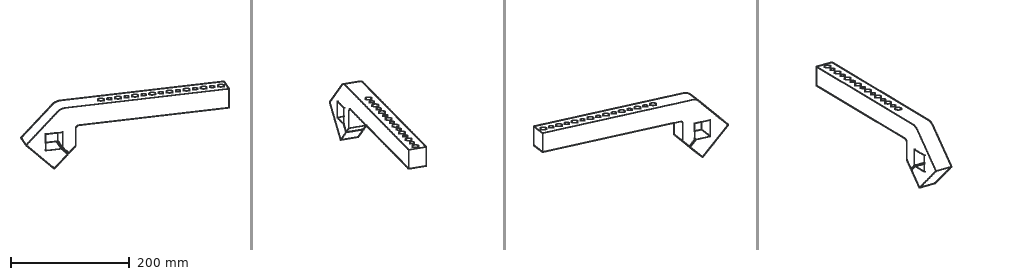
import cadquery as cq
import math

width = 32.0
length = 355.2
height = 110.0
bar_thickness = 35.0
head_half_diagonal = 49.5
neck_back = 87.0
outer_bend_radius = 20.0
inner_bend_radius = 5.0

window_side = 30.2
window_rise = 1.0
slit_width = 2.0
slit_length = head_half_diagonal

pin_diameter = 10.0
pin_edge_distance = 7.0
pin_length = 3.5

large_hole_diameter = 11.0
small_hole_diameter = 8.0
end_margin = 10.0
hole_count = 15
hole_row_length = 210.0
hole_pitch = hole_row_length / (hole_count - 1)

tip_height = head_half_diagonal
head_center_y = head_half_diagonal
slope_top_y = height - tip_height
bar_bottom = height - bar_thickness
neck_bottom = neck_back - head_center_y


def make_body():
    """Straight bar with a sloping head, extruded across the width."""
    outline = [
        (length, height),
        (slope_top_y, height),
        (0, tip_height),
        (head_center_y, 0),
        (neck_back, neck_bottom),
        (neck_back, bar_bottom),
        (length, bar_bottom),
    ]
    body = cq.Workplane("YZ").polyline(outline).close().extrude(width / 2, both=True)
    outer_bend = cq.selectors.NearestToPointSelector((0, slope_top_y, height))
    body = body.edges("|X").edges(outer_bend).fillet(outer_bend_radius)
    inner_bend = cq.selectors.NearestToPointSelector((0, neck_back, bar_bottom))
    return body.edges("|X").edges(inner_bend).fillet(inner_bend_radius)


def make_window():
    """Square opening through the head."""
    return (
        cq.Workplane("YZ")
        .center(head_center_y, tip_height + window_rise)
        .rect(window_side, window_side)
        .extrude(width, both=True)
    )


def make_slit():
    """Narrow 45 degree cut from the head centre out through the lower back edge."""
    return (
        cq.Workplane("YZ")
        .center(head_center_y, tip_height)
        .transformed(rotate=(0, 0, -45))
        .center(slit_length / 2, 0)
        .rect(slit_length, slit_width)
        .extrude(width, both=True)
    )


def make_pin():
    """Round pin at mid width, square to the slit and bridging its two walls."""
    axis_from_center = head_half_diagonal / math.sqrt(2) - pin_edge_distance
    offset = axis_from_center / math.sqrt(2)
    middle = (0, head_center_y + offset, tip_height - offset)
    across_slit = cq.Plane(origin=middle, xDir=(1, 0, 0), normal=(0, 1, 1))
    return cq.Workplane(across_slit).circle(pin_diameter / 2).extrude(pin_length / 2, both=True)


def make_holes(diameter, first):
    """Every second hole of the row along the bar, starting at index first."""
    centers = [
        (0, length - end_margin - index * hole_pitch)
        for index in range(first, hole_count, 2)
    ]
    return cq.Workplane("XY").pushPoints(centers).circle(diameter / 2).extrude(height)


result = (
    make_body()
    .cut(make_window())
    .cut(make_slit())
    .union(make_pin())
    .cut(make_holes(large_hole_diameter, 0))
    .cut(make_holes(small_hole_diameter, 1))
)